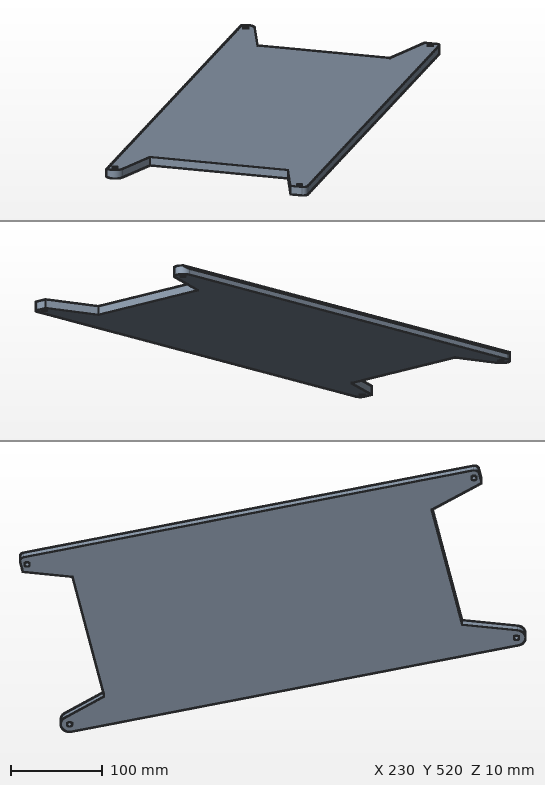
import cadquery as cq
import math

width = 230.0
length = 520.0
thickness = 10.0

hole_diameter = 5.5
tip_radius = 10.0
right_leg_setback = 3.0
right_leg_inner_x = 96.5
right_corner_radius = 5.0

back_recess_half_width = 75.5
back_recess_y = 196.0
front_recess_half_width = 78.5
front_recess_y = 205.5

edge_bevel = 3.0

hole_x = width / 2 - tip_radius
hole_y = length / 2 - tip_radius
right_leg_y = length / 2 - right_leg_setback


def tip_point(angle):
    """Point on the left back leg tip at an angle from +X."""
    return (-hole_x + tip_radius * math.cos(angle), hole_y + tip_radius * math.sin(angle))


def half_plate(recess_half_width, recess_y):
    """Back half of the plate, with a rounded left leg and a square right leg."""
    dx = -recess_half_width + hole_x
    dy = recess_y - hole_y
    tangent_angle = math.atan2(dy, dx) + math.acos(tip_radius / math.hypot(dx, dy))
    return (
        cq.Workplane("XY")
        .moveTo(-width / 2, 0)
        .lineTo(-width / 2, hole_y)
        .threePointArc(tip_point((math.pi + tangent_angle) / 2), tip_point(tangent_angle))
        .lineTo(-recess_half_width, recess_y)
        .lineTo(recess_half_width, recess_y)
        .lineTo(right_leg_inner_x, right_leg_y)
        .lineTo(width / 2, right_leg_y)
        .lineTo(width / 2, 0)
        .close()
        .extrude(thickness)
        .edges("|Z").edges(">X").edges(">Y")
        .fillet(right_corner_radius)
    )


back_half = half_plate(back_recess_half_width, back_recess_y)
front_half = half_plate(front_recess_half_width, front_recess_y).mirror("XZ")
plate = back_half.union(front_half).clean()

holes = (
    cq.Workplane("XY")
    .rect(2 * hole_x, 2 * hole_y, forConstruction=True)
    .vertices()
    .circle(hole_diameter / 2)
    .extrude(thickness)
)

bevel = (
    cq.Workplane("XZ")
    .moveTo(-width / 2, thickness)
    .lineTo(-width / 2 + edge_bevel, thickness)
    .lineTo(-width / 2, thickness - edge_bevel)
    .close()
    .extrude(length / 2, both=True)
)

result = plate.cut(holes).cut(bevel)